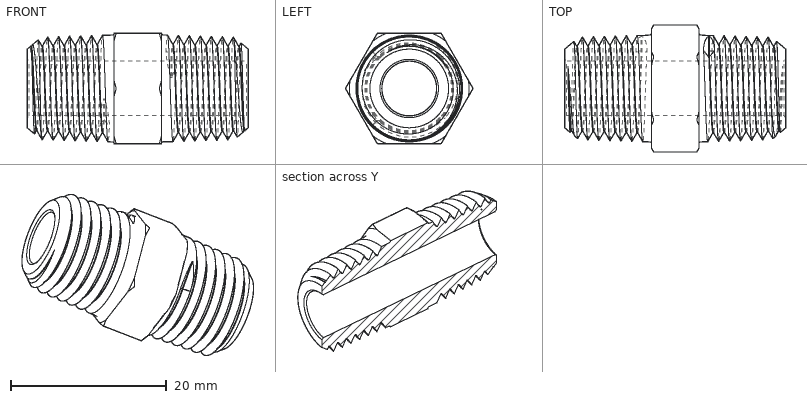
import cadquery as cq
import math


total_length = 28.4
half_length = total_length / 2

hex_sides = 6
hex_across_flats = 14.2
hex_width = 6.1
hex_corner_radius = 0.2
hex_face_diameter = 15.35
hex_chamfer_angle = 30.0
end_length = half_length - hex_width / 2

neck_diameter = 13.77
neck_radius = neck_diameter / 2
taper_on_diameter = 1 / 16
taper_slope = taper_on_diameter / 2
taper_angle = math.degrees(math.atan(taper_slope))
tip_cone_radius = neck_radius - end_length * taper_slope
neck_fillet_radius = 0.2

tip_face_radius = 5.05
tip_chamfer_angle = 40.0
tip_chamfer_slope = math.tan(math.radians(tip_chamfer_angle))
tip_chamfer_length = (tip_cone_radius - tip_face_radius) / (tip_chamfer_slope - taper_slope)

bore_diameter = 7.0
bore_chamfer = 0.25

inch = 25.4
turns_per_inch = 18
pitch = inch / turns_per_inch
crest_flat = 0.02
depth_per_pitch = 0.8
thread_depth = depth_per_pitch * pitch
flank_half_angle = 30.0
flank_slope = math.tan(math.radians(flank_half_angle))
root_width = pitch - crest_flat - 2 * thread_depth * flank_slope
cutter_overshoot = 0.01

turns = 7
runout_position = 9.87
runout_angle = 45.0
runout_length = 6.0


def make_end():
    """One plain tapered end along Z, with its tip at the origin and its neck at the hexagon."""
    chamfer_top_radius = tip_face_radius + tip_chamfer_length * tip_chamfer_slope
    fillet_start = end_length - neck_fillet_radius
    fillet_start_radius = neck_radius - neck_fillet_radius * taper_slope
    return (
        cq.Workplane("XZ")
        .lineTo(tip_face_radius, 0)
        .lineTo(chamfer_top_radius, tip_chamfer_length)
        .lineTo(fillet_start_radius, fillet_start)
        .radiusArc((neck_radius + neck_fillet_radius, end_length), neck_fillet_radius)
        .lineTo(neck_radius + neck_fillet_radius, half_length)
        .lineTo(0, half_length)
        .close()
        .revolve(360, (0, 0), (0, 1))
    )


def groove_root_radius(height):
    """Radius of the groove bottom, which follows the taper, at a height above the tip."""
    return tip_cone_radius + height * taper_slope - thread_depth


def groove_profile(position):
    """Trapezoidal groove section in the XZ plane, its mouth just above the tapered surface."""
    root_radius = groove_root_radius(position)
    cut_depth = thread_depth + cutter_overshoot
    half_root = root_width / 2
    half_mouth = half_root + cut_depth * flank_slope
    mouth_radius = root_radius + cut_depth
    mouth_taper = half_mouth * taper_slope
    return (
        cq.Workplane("XZ")
        .moveTo(root_radius, position - half_root)
        .lineTo(mouth_radius - mouth_taper, position - half_mouth)
        .lineTo(mouth_radius + mouth_taper, position + half_mouth)
        .lineTo(root_radius, position + half_root)
        .close()
    )


def cut_thread(end):
    """Cut the tapered helical groove, which leaves the end along a straight tangent run-out."""
    start = runout_position - turns * pitch
    path = cq.Wire.makeHelix(
        pitch,
        turns * pitch,
        groove_root_radius(start),
        cq.Vector(0, 0, start),
        cq.Vector(0, 0, 1),
        taper_angle,
    )
    groove = groove_profile(start).sweep(cq.Workplane(path), isFrenet=True)
    runout = groove_profile(runout_position).extrude(-runout_length)
    for cutter in (groove, runout):
        end = end.cut(cutter.rotate((0, 0, 0), (0, 0, 1), runout_angle))
    return end


def make_hexagon():
    """Central hexagon with flats facing +Z and -Z, rounded corners and chamfered faces."""
    half_width = hex_width / 2
    corner_diameter = hex_across_flats / math.cos(math.pi / hex_sides)
    blank = (
        cq.Workplane("YZ")
        .polygon(hex_sides, corner_diameter)
        .extrude(half_width, both=True)
        .edges("|X")
        .fillet(hex_corner_radius)
    )
    face_radius = hex_face_diameter / 2
    cone_radius = corner_diameter / 2
    chamfer_length = (cone_radius - face_radius) * math.tan(math.radians(hex_chamfer_angle))
    envelope = (
        cq.Workplane("XY")
        .moveTo(-half_width, 0)
        .lineTo(-half_width, face_radius)
        .lineTo(chamfer_length - half_width, cone_radius)
        .lineTo(half_width - chamfer_length, cone_radius)
        .lineTo(half_width, face_radius)
        .lineTo(half_width, 0)
        .close()
        .revolve(360, (0, 0), (1, 0))
    )
    return blank.intersect(envelope)


def make_bore():
    """Through bore along X with a 45 degree chamfer at each tip."""
    bore_radius = bore_diameter / 2
    mouth_radius = bore_radius + bore_chamfer
    chamfer_start = half_length - bore_chamfer
    return (
        cq.Workplane("XY")
        .moveTo(-half_length, 0)
        .lineTo(-half_length, mouth_radius)
        .lineTo(-chamfer_start, bore_radius)
        .lineTo(chamfer_start, bore_radius)
        .lineTo(half_length, mouth_radius)
        .lineTo(half_length, 0)
        .close()
        .revolve(360, (0, 0), (1, 0))
    )


left_end = (
    cut_thread(make_end())
    .rotate((0, 0, 0), (0, 1, 0), 90)
    .translate((-half_length, 0, 0))
)
right_end = left_end.rotate((0, 0, 0), (0, 1, 0), 180)
result = make_hexagon().union(left_end).union(right_end).cut(make_bore())